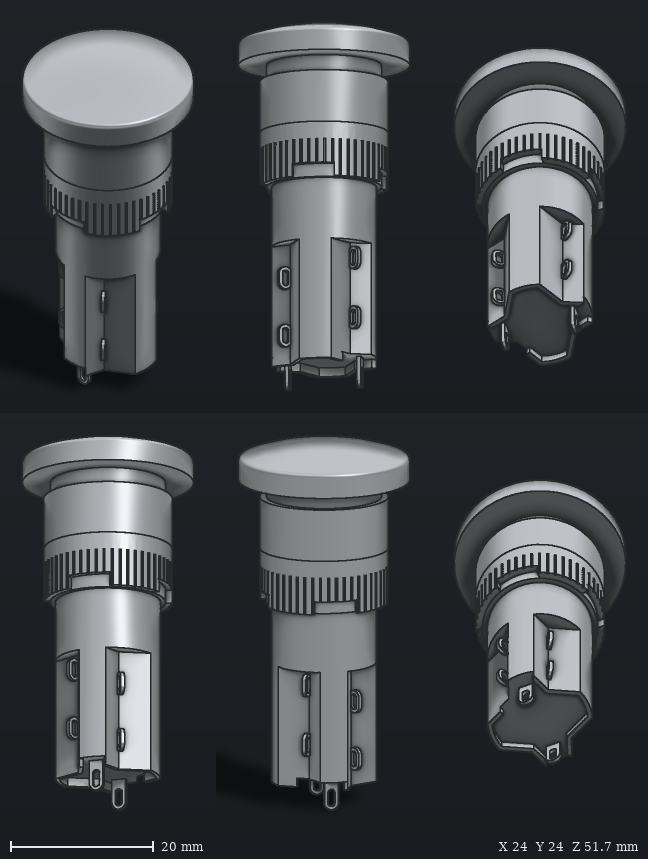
import cadquery as cq
import math


ARM_BOTTOM_Z = 3.1
RECESS_TOP_Z = 4.35
BLOCK_TOP_Z = 20.15
RING_BOTTOM_Z = 28.75
WINDOW_TOP_Z = 30.6
GROOVE_TOP_Z = 33.95
RING_TOP_Z = 36.45
BEZEL_TOP_Z = 43.8
HEAD_BOTTOM_Z = 46.1
HEAD_RIM_Z = 48.95
DOME_EDGE_Z = 49.6
TOP_Z = 51.65

HEAD_R = 24.0 / 2
DOME_EDGE_R = 11.55
BEZEL_R = 18.0 / 2
NECK_R = 16.1 / 2
BODY_R = 14.7 / 2

CORNERS = [(side_x, side_y) for side_x in (-1, 1) for side_y in (-1, 1)]

GROOVE_COUNT = 50
GROOVE_WIDTH = 0.25
GROOVE_DEPTH = 0.15
WINDOW_WIDTH = 6.0

X_ARM_HALF_WIDTH = 2.25
Y_ARM_HALF_WIDTH = 1.95
X_ARM_CORNER = (math.sqrt(BODY_R**2 - X_ARM_HALF_WIDTH**2), X_ARM_HALF_WIDTH)
Y_ARM_CORNER = (Y_ARM_HALF_WIDTH, math.sqrt(BODY_R**2 - Y_ARM_HALF_WIDTH**2))
NOTCH_X = 3.0
NOTCH_Y = 4.3

WALL = 0.6
GAP_LENGTH = 1.8
MOUTH_HALF_WIDTH = 1.5
MOUTH_Y = 6.45

TAB_WIDTH = 2.0
TAB_THICKNESS = 0.55
SLOT_WIDTH = 1.0
TERMINAL_Y = 5.1
TERMINAL_SLOT_TOP_Z = 2.95
TERMINAL_ROOT = 0.5
CONTACT_HEIGHT = 3.2
CONTACT_TIP_R = 7.0
HIGH_CONTACT_Z = (9.4, 17.9)
LOW_CONTACT_Z = (7.1, 15.35)


def cylinder(radius, bottom, top):
    return cq.Workplane("XY").workplane(offset=bottom).circle(radius).extrude(top - bottom)


def box(x_range, y_range, z_range):
    size = [high - low for low, high in (x_range, y_range, z_range)]
    corner = (x_range[0], y_range[0], z_range[0])
    return cq.Workplane("XY").box(*size, centered=False).translate(corner)


def upright_slot(width, height, thickness):
    """Plate with round ends, upright in the XZ plane and centred on the origin."""
    return cq.Workplane("XZ").slot2D(height, width, 90).extrude(thickness / 2, both=True)


def make_head():
    """Mushroom head with a domed top and a rounded rim."""
    sphere_r = (DOME_EDGE_R**2 + (TOP_Z - DOME_EDGE_Z) ** 2) / (2 * (TOP_Z - DOME_EDGE_Z))
    mid_r = DOME_EDGE_R / 2
    mid_z = TOP_Z - sphere_r + math.sqrt(sphere_r**2 - mid_r**2)
    return (
        cq.Workplane("XZ")
        .moveTo(0, HEAD_BOTTOM_Z)
        .lineTo(HEAD_R, HEAD_BOTTOM_Z)
        .lineTo(HEAD_R, HEAD_RIM_Z)
        .tangentArcPoint((DOME_EDGE_R, DOME_EDGE_Z), relative=False)
        .threePointArc((mid_r, mid_z), (0, TOP_Z))
        .close()
        .revolve(360, (0, 0, 0), (0, 1, 0))
    )


def unit_vector(start, end):
    length = math.dist(start, end)
    return (end[0] - start[0]) / length, (end[1] - start[1]) / length


NOTCH_CORNER = (NOTCH_X, NOTCH_Y)
X_FACE = unit_vector(NOTCH_CORNER, X_ARM_CORNER)
Y_FACE = unit_vector(NOTCH_CORNER, Y_ARM_CORNER)
CORNER_SHIFT = WALL / abs(X_FACE[0] * Y_FACE[1] - X_FACE[1] * Y_FACE[0])
INNER_CORNER = tuple(c - CORNER_SHIFT * (x + y) for c, x, y in zip(NOTCH_CORNER, X_FACE, Y_FACE))


def prism(points, side_x, side_y, bottom, top):
    """Prism on an outline of the +X +Y quarter, mirrored to the given side of each axis."""
    mirrored = [(side_x * x, side_y * y) for x, y in points]
    return cq.Workplane("XY").workplane(offset=bottom).polyline(mirrored).close().extrude(top - bottom)


def notch(corner, side_x, side_y, top):
    """V-notch with its bottom at the given corner, reaching past the outside of the block."""
    x_end = [c + BODY_R * d for c, d in zip(corner, X_FACE)]
    y_end = [c + BODY_R * d for c, d in zip(corner, Y_FACE)]
    outline = [corner, x_end, (x_end[0], y_end[1]), y_end]
    return prism(outline, side_x, side_y, ARM_BOTTOM_Z, top)


def bottom_recess():
    """Recess inside an even wall, open at both Y arms and at the corner between -X and -Y."""
    recess = cylinder(BODY_R - WALL, ARM_BOTTOM_Z, RECESS_TOP_Z)
    for side_x, side_y in CORNERS:
        recess = recess.cut(notch(INNER_CORNER, side_x, side_y, RECESS_TOP_Z))

    mouth_corner = (MOUTH_HALF_WIDTH, MOUTH_Y)
    mouth = [(0, MOUTH_Y), mouth_corner, Y_ARM_CORNER, (Y_ARM_HALF_WIDTH, BODY_R), (0, BODY_R)]
    for side_x, side_y in CORNERS:
        recess = recess.union(prism(mouth, side_x, side_y, ARM_BOTTOM_Z, RECESS_TOP_Z))

    gap_outer = tuple(c + GAP_LENGTH * d for c, d in zip(NOTCH_CORNER, X_FACE))
    gap_inner = (gap_outer[0] + WALL * X_FACE[1], gap_outer[1] - WALL * X_FACE[0])
    gap = [gap_outer, gap_inner, INNER_CORNER, mouth_corner, Y_ARM_CORNER, NOTCH_CORNER]
    return recess.union(prism(gap, -1, -1, ARM_BOTTOM_Z, RECESS_TOP_Z))


def make_terminal(y):
    """Terminal that hangs from the roof of the recess, with a slot near its tip."""
    height = RECESS_TOP_Z + TERMINAL_ROOT + TAB_WIDTH / 2
    plate = upright_slot(TAB_WIDTH, height, TAB_THICKNESS).translate((0, y, height / 2))
    slot_bottom = (TAB_WIDTH - SLOT_WIDTH) / 2
    slot_height = TERMINAL_SLOT_TOP_Z - slot_bottom
    slot = upright_slot(SLOT_WIDTH, slot_height, 2 * TAB_THICKNESS)
    return plate.cut(slot.translate((0, y, slot_bottom + slot_height / 2)))


def make_contact(side_x, side_y, z):
    """Slotted side contact that points radially out of the bottom of a notch."""
    slot_height = CONTACT_HEIGHT - (TAB_WIDTH - SLOT_WIDTH)
    plate = upright_slot(TAB_WIDTH, CONTACT_HEIGHT, TAB_THICKNESS)
    plate = plate.cut(upright_slot(SLOT_WIDTH, slot_height, 2 * TAB_THICKNESS))
    angle = math.degrees(math.atan2(side_y * NOTCH_Y, side_x * NOTCH_X))
    plate = plate.translate((CONTACT_TIP_R - TAB_WIDTH / 2, 0, z))
    return plate.rotate((0, 0, 0), (0, 0, 1), angle)


def make_switch():
    """Head, neck, bezel, barrel and contact block with its terminals."""
    switch = (
        make_head()
        .union(cylinder(NECK_R, RING_BOTTOM_Z, HEAD_BOTTOM_Z))
        .union(cylinder(BEZEL_R, RING_TOP_Z, BEZEL_TOP_Z))
        .union(cylinder(BODY_R, ARM_BOTTOM_Z, RING_BOTTOM_Z))
    )
    for side_x, side_y in CORNERS:
        switch = switch.cut(notch(NOTCH_CORNER, side_x, side_y, BLOCK_TOP_Z))
    switch = switch.cut(bottom_recess())
    for side_x, side_y in CORNERS:
        heights = HIGH_CONTACT_Z if side_x == side_y else LOW_CONTACT_Z
        for z in heights:
            switch = switch.union(make_contact(side_x, side_y, z))
    for y in (-TERMINAL_Y, TERMINAL_Y):
        switch = switch.union(make_terminal(y))
    return switch


def make_ring():
    """Ring around the barrel, with grooves all round and a window on each of four sides."""
    ring = cylinder(BEZEL_R, RING_BOTTOM_Z, RING_TOP_Z).cut(cylinder(NECK_R, RING_BOTTOM_Z, RING_TOP_Z))
    grooves = (
        cq.Workplane("XY")
        .workplane(offset=RING_BOTTOM_Z)
        .polarArray(BEZEL_R, -90, 360, GROOVE_COUNT)
        .rect(2 * GROOVE_DEPTH, GROOVE_WIDTH)
        .extrude(GROOVE_TOP_Z - RING_BOTTOM_Z)
    )
    ring = ring.cut(grooves)
    half_width = WINDOW_WIDTH / 2
    for reach_x, reach_y in ((BEZEL_R, half_width), (half_width, BEZEL_R)):
        window = box((-reach_x, reach_x), (-reach_y, reach_y), (RING_BOTTOM_Z, WINDOW_TOP_Z))
        ring = ring.cut(window)
    return ring


switch = make_switch()
ring = make_ring()
result = cq.Compound.makeCompound([switch.solids().val(), ring.solids().val()])